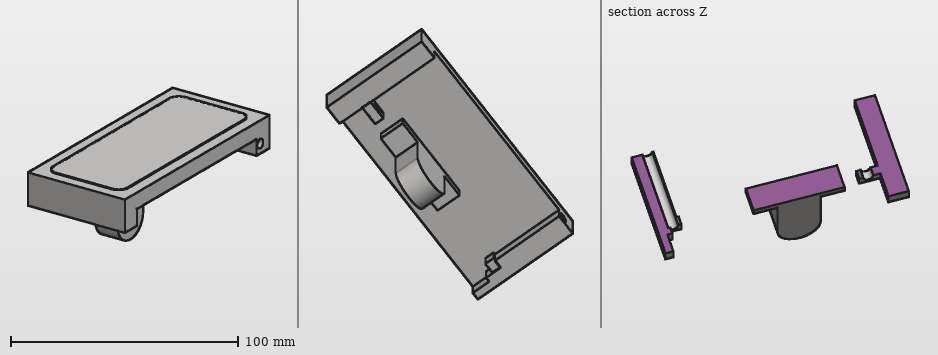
import cadquery as cq

width = 52.0
length = 112.0
plate_thickness = 8.0
leg_height = 16.0
side_x = -width / 2
end_y = length / 2

pad_height = 0.5
pad_inset = 5.9
pad_corner_radius = 5.0

near_leg_thickness = 9.5
far_leg_thicknesses = (3.8, 6.0, 10.2)
step_depth = 9.0
wall_depth = 3.4

lug_bottom = 15.0
lug_thickness = 4.5
near_lug_reach = 19.3
far_lug_reach = 11.2
hole_radius = 2.2
hole_drop = 11.2
near_hole_offset = 15.0
far_hole_offset = 7.3

tongue_x = -15.9
tongue_thickness = 12.0
tongue_y = -8.5
flange_length = 42.0
flange_bottom = 14.0
stem_width = 19.9
stem_bottom = 44.0


def block(x_start, x_end, y_start, y_end, bottom):
    """Box from the plate top down to the given depth."""
    size = (x_end - x_start, y_end - y_start, bottom)
    return cq.Workplane("XY").box(*size, centered=False).translate((x_start, y_start, -bottom))


def lug_hole(y, x_start):
    """Round cutter along X, running out through the +X side."""
    return (
        cq.Workplane("YZ", origin=(x_start, y, -hole_drop))
        .circle(hole_radius)
        .extrude(width / 2 - x_start)
    )


def make_plate():
    plate = block(side_x, -side_x, -end_y, end_y, plate_thickness)
    pad = (
        cq.Workplane("XY")
        .rect(width - 2 * pad_inset, length - 2 * pad_inset)
        .extrude(pad_height)
        .edges("|Z")
        .fillet(pad_corner_radius)
    )
    return plate.union(pad)


def make_near_end():
    lug_x = side_x + step_depth + wall_depth
    leg = block(side_x, -side_x, -end_y, near_leg_thickness - end_y, leg_height)
    lug = block(lug_x, lug_x + lug_thickness, -end_y, near_lug_reach - end_y, lug_bottom)
    return leg.union(lug).cut(lug_hole(near_hole_offset - end_y, lug_x))


def make_far_end():
    wall_x = side_x + step_depth
    lug_x = wall_x + wall_depth
    lug_end_x = lug_x + lug_thickness
    section_starts = (side_x, wall_x, lug_end_x)
    section_ends = (wall_x, lug_end_x, -side_x)
    end = block(lug_x, lug_end_x, end_y - far_lug_reach, end_y, lug_bottom)
    for start, finish, thickness in zip(section_starts, section_ends, far_leg_thicknesses):
        end = end.union(block(start, finish, end_y - thickness, end_y, leg_height))
    return end.cut(lug_hole(end_y - far_hole_offset, lug_x))


def make_tongue():
    stem_radius = stem_width / 2
    arc_z = stem_radius - stem_bottom
    tongue_end_x = tongue_x + tongue_thickness
    flange = block(
        tongue_x, tongue_end_x, tongue_y - flange_length / 2, tongue_y + flange_length / 2, flange_bottom
    )
    stem = block(tongue_x, tongue_end_x, tongue_y - stem_radius, tongue_y + stem_radius, -arc_z)
    tip = (
        cq.Workplane("YZ", origin=(tongue_x, tongue_y, arc_z))
        .circle(stem_radius)
        .extrude(tongue_thickness)
    )
    return flange.union(stem).union(tip)


result = make_plate().union(make_near_end()).union(make_far_end()).union(make_tongue())